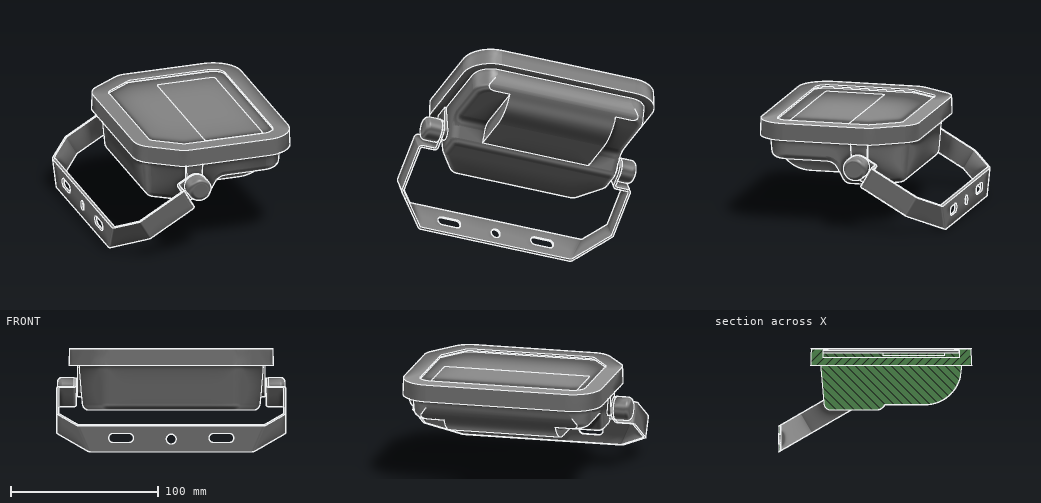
import cadquery as cq
import math


window_half_width = 57.7
window_top = 60.7
window_bottom = -25.4
window_side_end = -5.5
window_bottom_half_width = 43.9
slant_angle = math.atan2(
    window_side_end - window_bottom, window_half_width - window_bottom_half_width
)
window_top_radius = 8.7
window_side_radius = 1.9
window_bottom_radius = 4.4

frame_top = 27.5
frame_height = 11.7
frame_bottom = frame_top - frame_height
frame_border = 11.7
frame_draft = 1.8

frame_lip = 1.2

glass_border = 3.1
glass_recess = 3.0
glass_thickness = 3.1
glass_top = frame_top - glass_recess

panel_width = 101.8
panel_top = 53.5
panel_bottom = 12.1
panel_radius = 1.5
panel_thickness = 1.5

housing_border = 4.8
neck_height = 1.1
neck_bottom = frame_bottom - neck_height
housing_draft = 5.0
housing_bottom = -14.3
shallow_bottom = 0.6
step_start = 23.8
step_angle = 63.0
step_upper_radius = 7.8
step_lower_radius = 6.2
housing_edge_radius = 4.7

belly_width = 77.8
belly_bottom = -10.7
rear_radius = 24.9

lug_face = 63.6
lug_root = 56.0
lug_tip_radius = 5.1
lug_top_half_width = 6.0
lug_draft = 8.0

bracket_width = 155.6
bracket_half_width = bracket_width / 2
sheet = 1.5
strip_width = 15.2
bend_inner_radius = 1.0
bend_outer_radius = bend_inner_radius + sheet
strip_tilt = 30.0
bracket_front = -58.7
tab_inner_face = 64.4
tab_outer_face = tab_inner_face + sheet
jog_position = 9.5
corner_position = 46.8
slant_reach = 31.1
mount_hole_diameter = 6.5
mount_hole_z = -33.9
slot_width = 6.0
slot_length = 16.6
slot_z = -33.1
slot_spacing = 68.2

knob_diameter = 16.0
knob_end = 77.2
knob_edge_radius = 3.1
shank_diameter = 5.8
shank_end = 56.8

oversize = 311.2


def rounded_polygon(plane, corners):
    """Closed outline through corners (u, v, radius), rounded by tangent arcs."""
    path = None
    for i, (u, v, radius) in enumerate(corners):
        here = cq.Vector(u, v)
        before = cq.Vector(*corners[i - 1][:2]) - here
        after = cq.Vector(*corners[(i + 1) % len(corners)][:2]) - here
        half_angle = before.getAngle(after) / 2
        setback = radius / math.tan(half_angle)
        start = here + before.normalized() * setback
        end = here + after.normalized() * setback
        to_center = (before.normalized() + after.normalized()).normalized()
        middle = here + to_center * (radius / math.sin(half_angle) - radius)
        if path is None:
            path = cq.Workplane(plane).moveTo(start.x, start.y)
        else:
            path = path.lineTo(start.x, start.y)
        if radius > 0:
            path = path.threePointArc((middle.x, middle.y), (end.x, end.y))
    return path.close()


def mirrored(half):
    """Corners of a half outline followed by their mirror images across u = 0."""
    return half + [(-u, v, radius) for u, v, radius in reversed(half)]


def side_end(border):
    """Y where the side meets the slanted side, at the distance border."""
    return window_side_end - border * math.tan((math.pi / 2 - slant_angle) / 2)


def bottom_half_width(border):
    """X where the bottom meets the slanted side, at the distance border."""
    return window_bottom_half_width + border * math.tan(slant_angle / 2)


def rim_outline(z, border):
    """Outline that runs outside the window edge at the distance border."""
    corners = mirrored([
        (window_half_width + border, window_top + border, window_top_radius + border),
        (window_half_width + border, side_end(border), window_side_radius + border),
        (bottom_half_width(border), window_bottom - border, window_bottom_radius + border),
    ])
    plane = cq.Plane(origin=(0, 0, z), xDir=(1, 0, 0), normal=(0, 0, 1))
    return rounded_polygon(plane, corners)


def make_frame():
    """Drafted frame with the window, and below its lip a wider pocket for the glass."""
    body = rim_outline(frame_bottom, frame_border).extrude(frame_height, taper=frame_draft)
    pocket_floor = glass_top - glass_thickness
    window = rim_outline(pocket_floor, 0).extrude(frame_top - pocket_floor)
    pocket = rim_outline(pocket_floor, glass_border).extrude(frame_top - frame_lip - pocket_floor)
    return body.cut(window).cut(pocket)


def make_panel():
    """Rectangular panel let into the glass, flush with its top."""
    return (
        cq.Workplane("XY", origin=(0, (panel_top + panel_bottom) / 2, glass_top))
        .rect(panel_width, panel_top - panel_bottom)
        .extrude(-panel_thickness)
        .edges("|Z")
        .fillet(panel_radius)
    )


def make_glass(panel):
    """Glass plate that fills the bottom of the frame pocket, with a recess for the panel."""
    plate = rim_outline(glass_top, glass_border).extrude(-glass_thickness)
    return plate.cut(panel)


def tapered_tub():
    """Full-depth block of the housing below the neck, with drafted walls."""
    depth = neck_bottom - housing_bottom
    return rim_outline(neck_bottom, housing_border).extrude(-depth, taper=housing_draft)


def below_step():
    """Block below the shallow floor and the S-shaped step down to the deep floor."""
    angle = math.radians(step_angle)
    half = angle / 2
    rise = 1 - math.cos(angle)
    slope_height = shallow_bottom - housing_bottom - (step_upper_radius + step_lower_radius) * rise
    slope_run = slope_height / math.tan(angle)
    upper_y = step_start - step_upper_radius * math.sin(angle)
    upper_z = shallow_bottom - step_upper_radius * rise
    lower_y = upper_y - slope_run
    lower_z = upper_z - slope_height
    step_end = lower_y - step_lower_radius * math.sin(angle)
    return (
        cq.Workplane("YZ", origin=(-oversize / 2, 0, 0))
        .moveTo(oversize, shallow_bottom)
        .lineTo(step_start, shallow_bottom)
        .threePointArc(
            (
                step_start - step_upper_radius * math.sin(half),
                shallow_bottom - step_upper_radius * (1 - math.cos(half)),
            ),
            (upper_y, upper_z),
        )
        .lineTo(lower_y, lower_z)
        .threePointArc(
            (
                step_end + step_lower_radius * math.sin(half),
                housing_bottom + step_lower_radius * (1 - math.cos(half)),
            ),
            (step_end, housing_bottom),
        )
        .lineTo(oversize, housing_bottom)
        .close()
        .extrude(oversize)
    )


def rear_profile(width):
    """Block of the given width with the flat belly floor and the large round rear edge."""
    wall_slope = math.tan(math.radians(housing_draft))
    rear_top = window_top + housing_border
    rear_bottom = rear_top - (neck_bottom - belly_bottom) * wall_slope
    plane = cq.Plane(origin=(-width / 2, 0, 0), xDir=(0, 1, 0), normal=(1, 0, 0))
    corners = [
        (0, neck_bottom, 0),
        (0, belly_bottom, 0),
        (rear_bottom, belly_bottom, rear_radius),
        (rear_top, neck_bottom, 0),
    ]
    return rounded_polygon(plane, corners).extrude(width)


def lug(side):
    """Boss on the side wall around the pivot axis, side being -1 or 1."""
    plane = cq.Plane(origin=(side * lug_face, 0, 0), xDir=(0, 1, 0), normal=(-side, 0, 0))
    up = -side
    return (
        cq.Workplane(plane)
        .moveTo(-lug_top_half_width, up * frame_bottom)
        .lineTo(-lug_tip_radius, 0)
        .threePointArc((0, -up * lug_tip_radius), (lug_tip_radius, 0))
        .lineTo(lug_top_half_width, up * frame_bottom)
        .close()
        .extrude(lug_face - lug_root, taper=-lug_draft)
    )


def make_housing(knobs):
    """Housing below the frame: neck, drafted tub, belly and two lugs with shank holes."""
    neck = rim_outline(neck_bottom, housing_border).extrude(neck_height)
    tub = tapered_tub().cut(below_step())
    tub = tub.faces("<Z").edges("<Y").fillet(housing_edge_radius)
    rear = cq.Workplane("XY", origin=(0, step_start + oversize / 2, 0)).box(oversize, oversize, oversize)
    tub = tub.cut(rear.cut(rear_profile(oversize)))
    body = tub.union(neck).union(rear_profile(belly_width))
    for side in (-1, 1):
        body = body.union(lug(side))
    above = cq.Workplane("XY", origin=(0, 0, frame_bottom)).rect(oversize, oversize).extrude(oversize)
    body = body.cut(above)
    for knob in knobs:
        body = body.cut(knob)
    return body


def bracket_block(inset):
    """Solid inside the outer face of the sheet, or inside its inner face for inset = sheet."""
    tilt = math.radians(strip_tilt)
    slant = math.cos(tilt)
    bend = math.atan(slant)
    corner = corner_position - inset * math.tan(bend / 2)
    arm = bracket_half_width - inset
    convex = bend_outer_radius - inset
    concave = bend_inner_radius + inset
    half = [
        (tab_outer_face - inset, strip_width, 0),
        (tab_outer_face - inset, -jog_position - inset, concave),
        (arm, -jog_position - inset, convex),
        (arm, -corner, convex),
        (arm - slant_reach * slant, -corner - slant_reach, 0),
    ]
    strip_normal = (0, -math.sin(tilt), math.cos(tilt))
    plane = cq.Plane(origin=(0, 0, 0), xDir=(1, 0, 0), normal=strip_normal)
    block = rounded_polygon(plane, mirrored(half)).extrude(strip_width, both=True)
    in_front = (
        cq.Workplane("XZ", origin=(0, bracket_front + inset, 0))
        .rect(oversize, oversize)
        .extrude(oversize)
    )
    block = block.cut(in_front)
    return block.faces("<Y").edges("not |X").fillet(convex)


def strip_band():
    """Side shape of the strip: round around the pivot axis, straight and tilted beyond it."""
    band = (
        cq.Workplane("YZ", origin=(-oversize / 2, 0, 0))
        .moveTo(0, strip_width / 2)
        .threePointArc((strip_width / 2, 0), (0, -strip_width / 2))
        .lineTo(-oversize, -strip_width / 2)
        .lineTo(-oversize, strip_width / 2)
        .close()
        .extrude(oversize)
    )
    return band.rotate((0, 0, 0), (1, 0, 0), strip_tilt)


def make_bracket(knobs):
    """Bent bracket with the mounting holes and the shank holes."""
    body = bracket_block(0).cut(bracket_block(sheet)).intersect(strip_band())
    plate = cq.Workplane("XZ", origin=(0, bracket_front + 2 * sheet, 0))
    hole = plate.center(0, mount_hole_z).circle(mount_hole_diameter / 2).extrude(3 * sheet)
    slots = (
        plate.center(0, slot_z)
        .rarray(slot_spacing, 1.5, 2, 1)
        .slot2D(slot_length, slot_width)
        .extrude(3 * sheet)
    )
    body = body.cut(hole).cut(slots)
    for knob in knobs:
        body = body.cut(knob)
    return body


def make_knob(side):
    """Round knob outside the bracket tab, with a shank through the tab into the lug."""
    head = (
        cq.Workplane("YZ", origin=(side * tab_outer_face, 0, 0))
        .circle(knob_diameter / 2)
        .extrude(side * (knob_end - tab_outer_face))
        .faces(">X" if side > 0 else "<X")
        .edges()
        .fillet(knob_edge_radius)
    )
    shank = (
        cq.Workplane("YZ", origin=(side * shank_end, 0, 0))
        .circle(shank_diameter / 2)
        .extrude(side * (tab_outer_face - shank_end))
    )
    return head.union(shank)


frame = make_frame()
panel = make_panel()
glass = make_glass(panel)
knobs = [make_knob(side) for side in (-1, 1)]
housing = make_housing(knobs)
bracket = make_bracket(knobs)

result = cq.Compound.makeCompound([
    frame.solids().val(),
    glass.solids().val(),
    panel.solids().val(),
    housing.solids().val(),
    bracket.solids().val(),
    *[knob.solids().val() for knob in knobs],
])